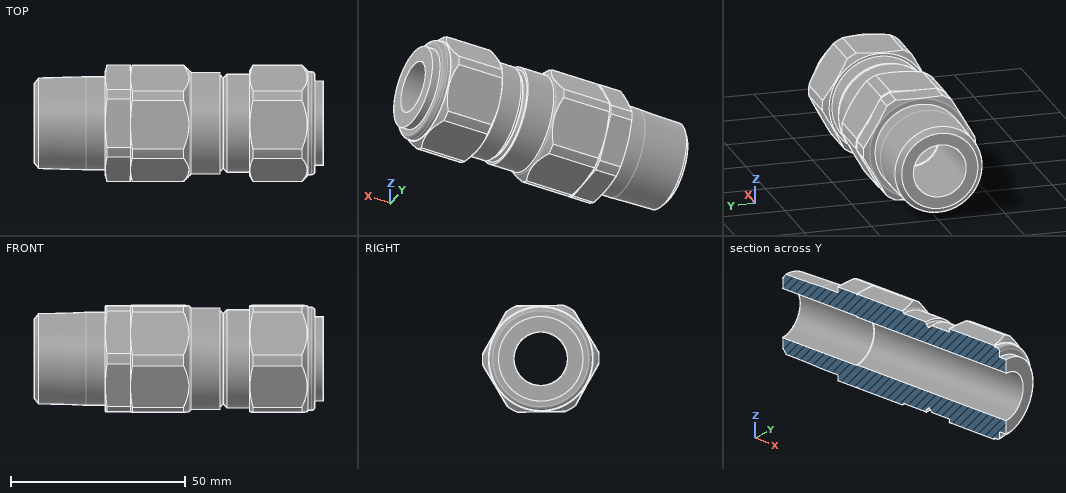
import cadquery as cq
import math


across_flats = 30.48
corner_diameter = 33.55
corner_radius = corner_diameter / 2
nut_turn_angle = 1.6
hex_chamfer_radius = 15.0

taper_start_x = 1.3
taper_end_x = 14.9
taper_small_radius = 13.05
taper_large_radius = 13.4
nose_radius = 11.4

flange_x = 20.4
body_nut_x = 27.6
collar_x = 45.1
groove_x = 53.4
neck_x = 55.4
end_nut_x = 61.85
end_nut_face_x = 80.65
total_length = 83.05

flange_chamfer_length = 0.5
body_nut_chamfer_length = 0.6
end_nut_chamfer_length = 1.0
back_chamfer_length = 1.7
body_nut_back_x = 44.6
end_nut_back_x = 78.6

collar_radius = 14.65
neck_radius = 14.15
groove_radius = 13.1
groove_shoulder_radius = 13.9
end_nut_rim_radius = 14.85
end_nut_rim_fillet = 1.05
sleeve_radius = 12.15

front_bore_radius = 7.9
back_bore_radius = 7.65


def revolve_profile(points):
    """Solid of revolution about X from (x, radius) points, closed along the axis."""
    first_x = points[0][0]
    last_x = points[-1][0]
    outline = [(first_x, 0), *points, (last_x, 0)]
    return cq.Workplane("XY").polyline(outline).close().revolve(360, (0, 0, 0), (1, 0, 0))


def hexagon(start_x, end_x, front_chamfer, back_chamfer, turn_angle):
    """Hexagonal prism along X with corners on +Y and -Y, rounded and chamfered at its corners."""
    circumscribed_diameter = across_flats / math.cos(math.radians(30))
    prism = (
        cq.Workplane("YZ", origin=(start_x, 0, 0))
        .polygon(6, circumscribed_diameter)
        .extrude(end_x - start_x)
        .rotate((0, 0, 0), (1, 0, 0), turn_angle)
    )
    envelope_points = [
        (start_x, hex_chamfer_radius),
        (start_x + front_chamfer, corner_radius),
        (end_x - back_chamfer, corner_radius),
    ]
    if back_chamfer > 0:
        envelope_points.append((end_x, corner_radius - back_chamfer))
    return prism.intersect(revolve_profile(envelope_points))


def turned_body():
    """Tapered end, collar, groove and neck, ending inside the end nut."""
    groove_bottom_x = groove_x + groove_shoulder_radius - groove_radius
    groove_far_x = neck_x - (neck_radius - groove_radius)
    return revolve_profile([
        (0, nose_radius),
        (taper_start_x, taper_small_radius),
        (taper_end_x, taper_large_radius),
        (body_nut_back_x, taper_large_radius),
        (body_nut_back_x, corner_radius - back_chamfer_length),
        (collar_x, collar_radius),
        (groove_x, collar_radius),
        (groove_x, groove_shoulder_radius),
        (groove_bottom_x, groove_radius),
        (groove_far_x, groove_radius),
        (neck_x, neck_radius),
        (end_nut_back_x, neck_radius),
    ])


def end_rim():
    """Round rim behind the end nut with a rounded outer edge."""
    rim = revolve_profile([
        (end_nut_back_x, end_nut_rim_radius),
        (end_nut_face_x, end_nut_rim_radius),
    ])
    return rim.faces(">X").edges().fillet(end_nut_rim_fillet)


def sleeve():
    """Plain round end that sticks out of the end nut."""
    return revolve_profile([
        (end_nut_back_x, sleeve_radius),
        (total_length, sleeve_radius),
    ])


def bore():
    """Through bore, slightly wider from the tapered end up to the body nut."""
    return revolve_profile([
        (0, front_bore_radius),
        (body_nut_x, front_bore_radius),
        (body_nut_x, back_bore_radius),
        (total_length, back_bore_radius),
    ])


flange = hexagon(flange_x, body_nut_x, flange_chamfer_length, 0, 0)
body_nut = hexagon(
    body_nut_x, body_nut_back_x, body_nut_chamfer_length, back_chamfer_length, nut_turn_angle
)
end_nut = hexagon(
    end_nut_x, end_nut_back_x, end_nut_chamfer_length, back_chamfer_length, nut_turn_angle
)

result = turned_body()
for piece in (flange, body_nut, end_nut, end_rim(), sleeve()):
    result = result.union(piece)
result = result.cut(bore())